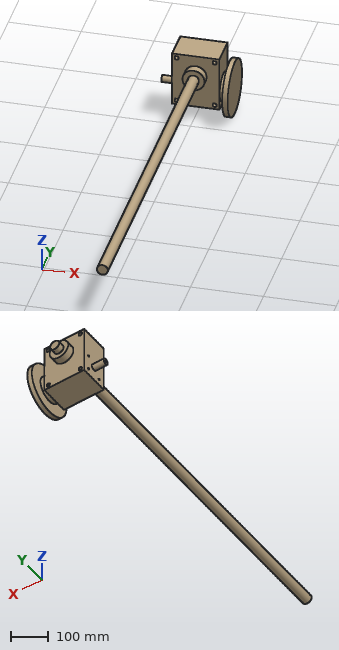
import cadquery as cq


HOUSING_WIDTH = 130.0
HOUSING_DEPTH = 90.0
HOUSING_HEIGHT = 157.0
HOUSING_TOP = 60.0

COLLAR_DIAMETER = 60.0
COLLAR_LENGTH = 24.0

MOUNT_HOLE_DIAMETER = 11.0
MOUNT_SPACING_X = 104.0
MOUNT_SPACING_Z = 132.0

FACE_HOLE_DIAMETER = 4.9
FACE_HOLE_SPACING = 49.0
FACE_HOLE_DEPTH = 12.0

SCREW_DIAMETER = 30.0
SCREW_LENGTH = 1160.0
SCREW_STUB = 20.0

SHAFT_DIAMETER = 20.0
SHAFT_PROJECTION = 38.0
SHAFT_DROP = 50.0
SHAFT_SEAT_DEPTH = 23.0
CENTRE_HOLE_DIAMETER = 4.9
CENTRE_HOLE_DEPTH = 12.0

FLANGE_DIAMETER = 160.0
FLANGE_THICKNESS = 15.0
FLANGE_NECK_DIAMETER = 81.0
FLANGE_NECK_LENGTH = 16.0

HOUSING_LEFT = -HOUSING_WIDTH / 2
HOUSING_RIGHT = HOUSING_WIDTH / 2
HOUSING_CENTRE_Z = HOUSING_TOP - HOUSING_HEIGHT / 2
COLLAR_SPAN = HOUSING_DEPTH + 2 * COLLAR_LENGTH
SCREW_BACK = COLLAR_SPAN / 2 + SCREW_STUB


def cylinder_along_x(start_x, y, z, diameter, length):
    """Cylinder that starts at start_x and grows toward +X."""
    return cq.Workplane("YZ", origin=(start_x, y, z)).circle(diameter / 2).extrude(length)


def cylinder_along_y(x, start_y, z, diameter, length):
    """Cylinder that starts at start_y and grows toward +Y."""
    return cq.Workplane("XZ", origin=(x, start_y, z)).circle(diameter / 2).extrude(-length)


def pair(spacing):
    """Two places, half the spacing to either side of zero."""
    return (-spacing / 2, spacing / 2)


def make_housing():
    block = cq.Workplane("XY").box(HOUSING_WIDTH, HOUSING_DEPTH, HOUSING_HEIGHT)
    housing = block.translate((0, 0, HOUSING_CENTRE_Z))

    housing = housing.union(cylinder_along_y(0, -COLLAR_SPAN / 2, 0, COLLAR_DIAMETER, COLLAR_SPAN))
    housing = housing.cut(cylinder_along_y(0, -COLLAR_SPAN / 2, 0, SCREW_DIAMETER, COLLAR_SPAN))

    housing = housing.cut(
        cylinder_along_x(HOUSING_LEFT, 0, -SHAFT_DROP, SHAFT_DIAMETER, SHAFT_SEAT_DEPTH)
    )

    for x in pair(MOUNT_SPACING_X):
        for dz in pair(MOUNT_SPACING_Z):
            z = HOUSING_CENTRE_Z + dz
            housing = housing.cut(
                cylinder_along_y(x, -HOUSING_DEPTH / 2, z, MOUNT_HOLE_DIAMETER, HOUSING_DEPTH)
            )

    for y in pair(FACE_HOLE_SPACING):
        for dz in pair(FACE_HOLE_SPACING):
            z = -SHAFT_DROP + dz
            housing = housing.cut(
                cylinder_along_x(HOUSING_LEFT, y, z, FACE_HOLE_DIAMETER, FACE_HOLE_DEPTH)
            )
    return housing


def make_screw():
    return cylinder_along_y(0, SCREW_BACK - SCREW_LENGTH, 0, SCREW_DIAMETER, SCREW_LENGTH)


def make_input_shaft():
    shaft_end = HOUSING_LEFT - SHAFT_PROJECTION
    shaft_length = SHAFT_PROJECTION + SHAFT_SEAT_DEPTH
    shaft = cylinder_along_x(shaft_end, 0, -SHAFT_DROP, SHAFT_DIAMETER, shaft_length)
    centre_hole = cylinder_along_x(shaft_end, 0, -SHAFT_DROP, CENTRE_HOLE_DIAMETER, CENTRE_HOLE_DEPTH)
    return shaft.cut(centre_hole)


def make_motor_flange():
    neck = cylinder_along_x(HOUSING_RIGHT, 0, -SHAFT_DROP, FLANGE_NECK_DIAMETER, FLANGE_NECK_LENGTH)
    disc_start = HOUSING_RIGHT + FLANGE_NECK_LENGTH
    disc = cylinder_along_x(disc_start, 0, -SHAFT_DROP, FLANGE_DIAMETER, FLANGE_THICKNESS)
    return neck.union(disc)


housing = make_housing()
screw = make_screw()
input_shaft = make_input_shaft()
motor_flange = make_motor_flange()

result = cq.Compound.makeCompound(
    [housing.val(), screw.val(), input_shaft.val(), motor_flange.val()]
)